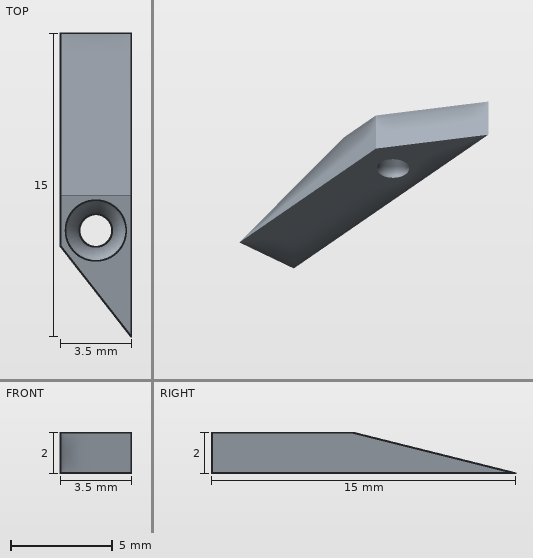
import cadquery as cq
import math

width = 3.5
length = 15.0
thickness = 2.0

point_angle = 38.0
point_length = width / math.tan(math.radians(point_angle))

flat_length = 7.0

hole_diameter = 1.6
countersink_diameter = 3.0
countersink_angle = 90.0
hole_x = width / 2
hole_y = flat_length - width / 2


def make_blade():
    """Wedge side profile across the full width, with a sharp edge at +Y."""
    return (
        cq.Workplane("YZ")
        .polyline([(0, 0), (length, 0), (flat_length, thickness), (0, thickness)])
        .close()
        .extrude(width)
    )


def cut_point(body):
    """Remove the corner beside the point, leaving the tip at +X, -Y."""
    corner = (
        cq.Workplane("XY")
        .polyline([(0, 0), (width, 0), (0, point_length)])
        .close()
        .extrude(thickness)
    )
    return body.cut(corner)


def cut_screw_hole(body):
    """Through hole, countersunk from the flat top."""
    return (
        body.faces(">Z")
        .workplane(origin=(hole_x, hole_y, thickness))
        .cskHole(hole_diameter, countersink_diameter, countersink_angle)
    )


result = cut_screw_hole(cut_point(make_blade()))